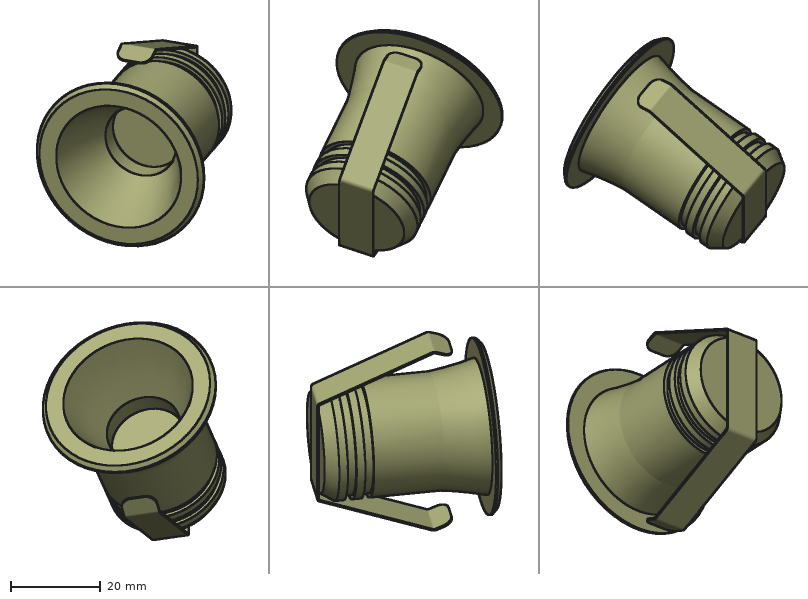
import cadquery as cq
import math

housing_length = 39.0
flange_radius = 20.0
flange_thickness = 1.5
flange_chamfer = 1.0
body_radius = 13.5
flare_radius = 15.5
flare_mid_radius = 14.3
flare_end = 12.0
back_chamfer_length = 3.0
back_chamfer_depth = 2.0
groove_radius = 12.5
groove_width = 2.0
groove_count = 2

mouth_radius = 15.0
lens_radius = 8.45
lens_thickness = 0.95
funnel_depth = 14.0
bore_depth = 4.85
funnel_bulge = 0.4

clip_width = 8.15
clip_thickness = 0.4
clip_back_half_height = 13.0
clip_peak_y = 12.75
clip_peak_half_height = 24.243
clip_tip_y = 8.3
clip_tip_half_height = 22.57
bend_inner_radius = 0.6
tip_corner_radius = 2.4


def make_housing():
    """Turn the outside, then cut the ring grooves, the recess and the lens seat."""
    flare_mid = (flare_mid_radius, (flange_thickness + flare_end) / 2)
    outside = (
        cq.Workplane("XY")
        .lineTo(flange_radius - flange_chamfer, 0)
        .lineTo(flange_radius, flange_chamfer)
        .lineTo(flange_radius, flange_thickness)
        .lineTo(flare_radius, flange_thickness)
        .threePointArc(flare_mid, (body_radius, flare_end))
        .lineTo(body_radius, housing_length - back_chamfer_length)
        .lineTo(body_radius - back_chamfer_depth, housing_length)
        .lineTo(0, housing_length)
        .close()
        .revolve(360, (0, 0, 0), (0, 1, 0))
    )
    for index in range(groove_count):
        groove_back = housing_length - back_chamfer_length - (2 * index + 1) * groove_width
        groove = (
            cq.Workplane("XZ", origin=(0, groove_back, 0))
            .circle(flange_radius)
            .circle(groove_radius)
            .extrude(groove_width)
        )
        outside = outside.cut(groove)
    return outside.cut(make_recess()).cut(make_lens())


def make_recess():
    """Funnel with a slightly curved wall, narrowing to the straight bore."""
    wall_mid = ((mouth_radius + lens_radius) / 2 + funnel_bulge, funnel_depth / 2)
    return (
        cq.Workplane("XY")
        .lineTo(mouth_radius, 0)
        .threePointArc(wall_mid, (lens_radius, funnel_depth))
        .lineTo(lens_radius, funnel_depth + bore_depth)
        .lineTo(0, funnel_depth + bore_depth)
        .close()
        .revolve(360, (0, 0, 0), (0, 1, 0))
    )


def make_lens():
    """Flat disc that forms the bottom of the bore."""
    return (
        cq.Workplane("XZ", origin=(0, funnel_depth + bore_depth, 0))
        .circle(lens_radius)
        .extrude(-lens_thickness)
    )


def inset_path(path, distance):
    """Shift an open path to its right side by distance, with mitred corners."""
    headings = [math.atan2(b[1] - a[1], b[0] - a[0]) for a, b in zip(path, path[1:])]
    headings_in = headings[:1] + headings
    headings_out = headings + headings[-1:]
    shifted = []
    for (y, z), before, after in zip(path, headings_in, headings_out):
        heading = (before + after) / 2
        reach = distance / math.cos((after - before) / 2)
        shifted.append((y + reach * math.sin(heading), z - reach * math.cos(heading)))
    return shifted


def make_clip():
    """Bend the strip around the back, with rounded bends and tip corners."""
    back_y = housing_length + clip_thickness
    lower_arm = [
        (clip_tip_y, -clip_tip_half_height),
        (clip_peak_y, -clip_peak_half_height),
        (back_y, -clip_back_half_height),
    ]
    upper_arm = [(y, -z) for y, z in reversed(lower_arm)]
    outer_path = lower_arm + upper_arm
    inner_path = inset_path(outer_path, -clip_thickness)
    clip = (
        cq.Workplane("YZ")
        .polyline(outer_path + inner_path[::-1])
        .close()
        .extrude(clip_width / 2, both=True)
    )

    def edges_at(points):
        """Edges along X through the given points of the strip profile."""
        def is_wanted(edge):
            center = edge.Center()
            return any(math.dist((center.y, center.z), point) < clip_thickness / 4 for point in points)
        return [edge for edge in clip.edges("|X").vals() if is_wanted(edge)]

    inner_bends = edges_at(inner_path[1:-1])
    outer_bends = edges_at(outer_path[1:-1])
    solid = clip.val().fillet(bend_inner_radius, inner_bends)
    solid = solid.fillet(bend_inner_radius + clip_thickness, outer_bends)

    corners = [
        edge for edge in solid.Edges()
        if edge.geomType() == "LINE"
        and edge.Length() < 2 * clip_thickness
        and edge.Center().y < clip_peak_y - bend_inner_radius - clip_thickness
    ]
    return solid.fillet(tip_corner_radius, corners)


housing = make_housing()
lens = make_lens()
clip = make_clip()

result = cq.Compound.makeCompound([housing.val(), lens.val(), clip])